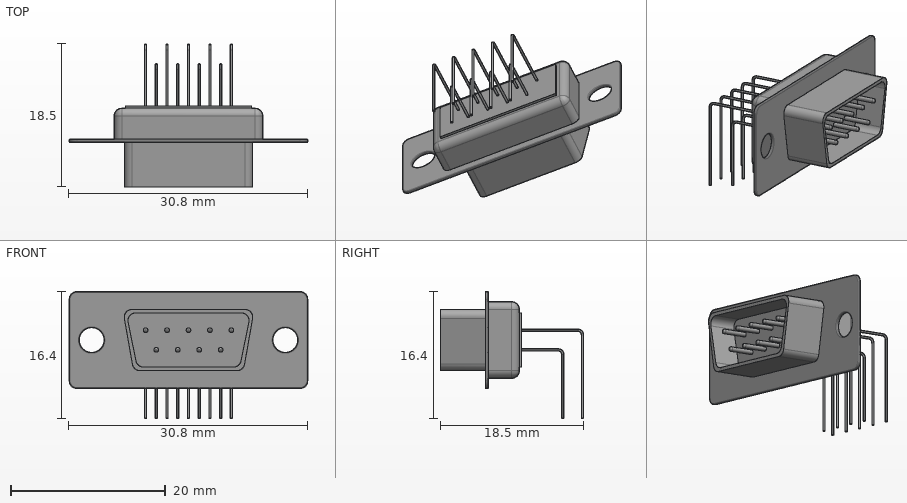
import cadquery as cq
import math

flange_width = 30.8
flange_height = 12.5
flange_thickness = 0.4
flange_corner_radius = 1.0
flange_edge_rounding = 0.1
mounting_hole_diameter = 3.2
mounting_hole_spacing = 25.0

shell_middle_width = 15.58
shell_height = 7.9
shell_side_angle = 10.0
shell_corner_radius = 1.0
shell_wall = 0.45
shell_length = 5.8
pocket_depth = 3.8
pocket_side_angle = 11.5

housing_width = 19.2
housing_height = 9.9
housing_depth = 4.0
housing_corner_radius = 1.0
housing_back_rounding = 0.999
pad_width = 16.3
pad_height = 7.0
pad_thickness = 0.3

contact_pitch = 2.77
row_spacing = 2.54
upper_contact_count = 5
lower_contact_count = 4
pin_diameter = 0.6
pin_tip_rounding = 0.22
pin_length = 5.6
lead_diameter = 0.3
lead_bend_radius = 0.6
lead_end_chamfer = 0.08
lead_overall_depth = 18.49
lead_overall_height = 16.4

pocket_middle_width = shell_middle_width - 2 * shell_wall / math.cos(math.radians(pocket_side_angle))
pocket_height = shell_height - 2 * shell_wall
flange_back = flange_thickness
housing_back = flange_back + housing_depth
upper_lead_y = lead_overall_depth - shell_length - lead_diameter / 2
lower_lead_y = upper_lead_y - row_spacing
lead_bottom = flange_height / 2 - lead_overall_height


def plane_at(y):
    """Plane facing +Y with local x along +X and local y along -Z."""
    return cq.Workplane(cq.Plane(origin=(0, y, 0), xDir=(1, 0, 0), normal=(0, 1, 0)))


def make_flange():
    plate = plane_at(0).rect(flange_width, flange_height).extrude(flange_thickness)
    plate = plate.edges("|Y").fillet(flange_corner_radius)
    holes = (
        plane_at(0)
        .pushPoints([(-mounting_hole_spacing / 2, 0), (mounting_hole_spacing / 2, 0)])
        .circle(mounting_hole_diameter / 2)
        .extrude(flange_thickness)
    )
    return plate.cut(holes).faces("<Y or >Y").edges().fillet(flange_edge_rounding)


def make_d_block(middle_width, height, side_angle, depth):
    """D-shaped block reaching back from the shell's front; middle_width is its width at half height."""
    taper = height / 2 * math.tan(math.radians(side_angle))
    top_half_width = middle_width / 2 + taper
    bottom_half_width = middle_width / 2 - taper
    corners = [
        (-top_half_width, -height / 2),
        (top_half_width, -height / 2),
        (bottom_half_width, height / 2),
        (-bottom_half_width, height / 2),
    ]
    block = plane_at(-shell_length).polyline(corners).close().extrude(depth)
    return block.edges("|Y").fillet(shell_corner_radius)


def make_shell():
    """Shell with an open front and a floor that carries the pins."""
    outside = make_d_block(shell_middle_width, shell_height, shell_side_angle, shell_length)
    pocket = make_d_block(pocket_middle_width, pocket_height, pocket_side_angle, pocket_depth)
    return outside.cut(pocket)


def make_housing():
    housing = plane_at(flange_back).rect(housing_width, housing_height).extrude(housing_depth)
    housing = housing.edges("|Y").fillet(housing_corner_radius)
    housing = housing.faces(">Y").edges().fillet(housing_back_rounding)
    pad = plane_at(housing_back).rect(pad_width, pad_height).extrude(pad_thickness)
    return housing.union(pad)


def make_contact(x, z, lead_y):
    """Straight pin in the shell joined to a lead bent downward behind the housing."""
    pin = plane_at(-pin_length).center(x, -z).circle(pin_diameter / 2).extrude(pin_length)
    pin = pin.faces("<Y").edges().fillet(pin_tip_rounding)
    bend_start = lead_y - lead_bend_radius
    bend_bottom = z - lead_bend_radius
    path = (
        cq.Workplane("YZ", origin=(x, 0, 0))
        .moveTo(housing_back, z)
        .lineTo(bend_start, z)
        .tangentArcPoint((lead_y, bend_bottom), relative=False)
        .lineTo(lead_y, lead_bottom)
    )
    lead = plane_at(housing_back).center(x, -z).circle(lead_diameter / 2).sweep(path)
    lead = lead.faces("<Z").edges().chamfer(lead_end_chamfer)
    return [pin, lead]


def make_contact_row(count, z, lead_y):
    contacts = []
    for index in range(count):
        x = (index - (count - 1) / 2) * contact_pitch
        contacts += make_contact(x, z, lead_y)
    return contacts


result = make_flange().union(make_housing()).union(make_shell())
contacts = make_contact_row(upper_contact_count, row_spacing / 2, upper_lead_y)
contacts += make_contact_row(lower_contact_count, -row_spacing / 2, lower_lead_y)
for contact in contacts:
    result = result.union(contact)